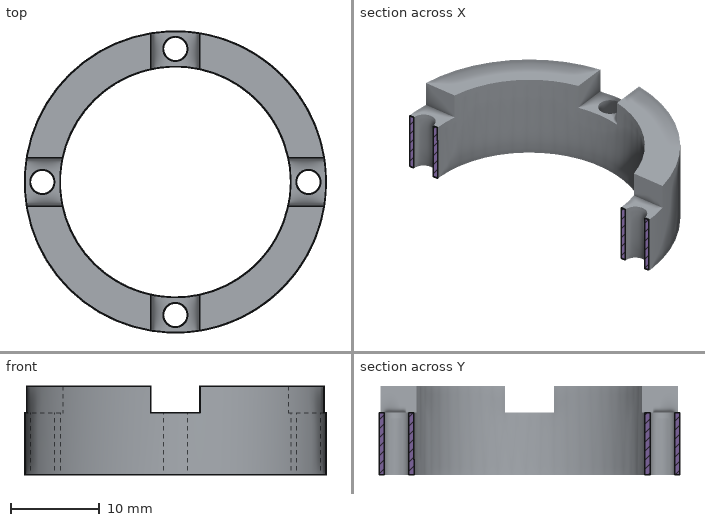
import cadquery as cq

outer_diameter = 34.0
inner_diameter = 26.0
ring_height = 10.0

notch_width = 5.5
notch_depth = 3.0
hole_diameter = 2.7
bolt_circle_radius = (outer_diameter + inner_diameter) / 4
notch_floor = ring_height - notch_depth


def make_ring():
    """Plain ring standing on the XY plane."""
    return (
        cq.Workplane("XY")
        .circle(outer_diameter / 2)
        .circle(inner_diameter / 2)
        .extrude(ring_height)
    )


def notch_bar(length_x, length_y):
    """Bar through the ring axis that cuts two opposite notches."""
    return (
        cq.Workplane("XY")
        .workplane(offset=notch_floor)
        .rect(length_x, length_y)
        .extrude(notch_depth)
    )


def screw_holes():
    """Four through holes, one centred in each notch."""
    return (
        cq.Workplane("XY")
        .polarArray(bolt_circle_radius, 0, 360, 4)
        .circle(hole_diameter / 2)
        .extrude(ring_height)
    )


result = (
    make_ring()
    .cut(notch_bar(outer_diameter, notch_width))
    .cut(notch_bar(notch_width, outer_diameter))
    .cut(screw_holes())
)